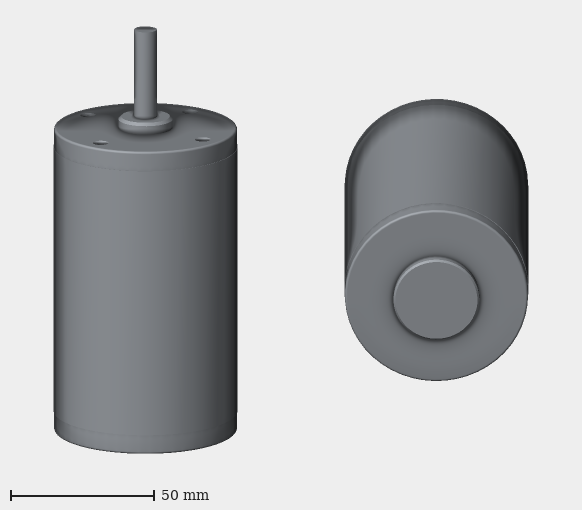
import cadquery as cq
can_diameter = 64.41
can_length = 95.82
cap_diameter = 64.0
cap_thickness = 6.93
cap_edge_radius = 0.8

collar_diameter = 19.0
collar_height = 4.05
collar_chamfer = 1.0

shaft_diameter = 8.0
shaft_projection = 31.5
flat_length = 25.5
flat_offset = 3.7

boss_diameter = 30.0
boss_height = 4.1
boss_edge_chamfer = 0.65

screw_hole_count = 4
screw_hole_diameter = 4.0
screw_hole_mouth_diameter = 5.5
screw_hole_mouth_angle = 90
screw_circle_diameter = 50.8

rear_cap_base = boss_height
can_base = rear_cap_base + cap_thickness
front_cap_base = can_base + can_length
front_face = front_cap_base + cap_thickness
collar_top = front_face + collar_height
shaft_tip = collar_top + shaft_projection


def cylinder(diameter, height, base):
    """Solid cylinder on the motor axis, rising from the level `base`."""
    return cq.Workplane("XY").workplane(offset=base).circle(diameter / 2).extrude(height)


def cut_screw_holes(cap):
    """Countersunk screw holes through the front cap, on a circle about the shaft."""
    return (
        cap.copyWorkplane(cq.Workplane("XY", origin=(0, 0, front_face)))
        .polarArray(screw_circle_diameter / 2, 0, 360, screw_hole_count)
        .cskHole(screw_hole_diameter, screw_hole_mouth_diameter, screw_hole_mouth_angle, cap_thickness)
    )


def make_shaft():
    """Output shaft with a shallow drive flat facing +Y, running down from its tip."""
    shaft = cylinder(shaft_diameter, shaft_projection, collar_top)
    flat_cutter = cq.Workplane("XY", origin=(0, flat_offset, shaft_tip)).box(
        shaft_diameter, shaft_diameter, 2 * flat_length, centered=(True, False, True)
    )
    return shaft.cut(flat_cutter)


def make_can():
    """Plain cylindrical can between the two caps."""
    return cylinder(can_diameter, can_length, can_base)


def make_front_cap():
    """Front cap with its collar, the shaft and the screw holes."""
    cap = cylinder(cap_diameter, cap_thickness, front_cap_base)
    cap = cap.faces(">Z").edges().fillet(cap_edge_radius)
    collar = cylinder(collar_diameter, collar_height, front_face)
    collar = collar.faces(">Z").edges().chamfer(collar_chamfer)
    return cut_screw_holes(cap.union(collar).union(make_shaft()))


def make_rear_cap():
    """Rear cap with the bearing boss on its outer face."""
    cap = cylinder(cap_diameter, cap_thickness, rear_cap_base)
    cap = cap.faces("<Z").edges().fillet(cap_edge_radius)
    boss = cylinder(boss_diameter, boss_height, 0)
    boss = boss.faces("<Z").edges().chamfer(boss_edge_chamfer)
    return cap.union(boss)


can = make_can()
front_cap = make_front_cap()
rear_cap = make_rear_cap()

result = cq.Compound.makeCompound([can.val(), front_cap.val(), rear_cap.val()])